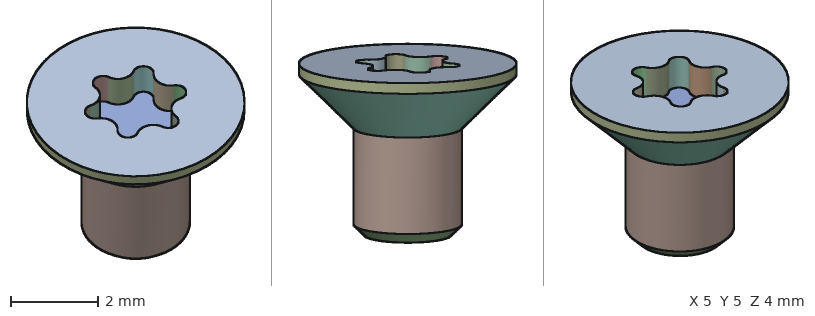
import cadquery as cq
import math

head_diameter = 5.0
shank_diameter = 2.5
total_height = 4.0
rim_height = 0.25
tip_chamfer = 0.25

lobe_count = 6
lobe_tip_reach = 1.215
valley_reach = 0.84
lobe_radius = 0.235
recess_depth = 0.8
first_lobe_angle = 90.0

head_radius = head_diameter / 2
shank_radius = shank_diameter / 2
cone_height = head_radius - shank_radius


def polar(radius, angle):
    """Point at a radius and an angle in degrees."""
    return (radius * math.cos(math.radians(angle)), radius * math.sin(math.radians(angle)))


def screw_body():
    """Rim, countersunk cone, shank and chamfered tip as one turned profile."""
    rim_bottom = total_height - rim_height
    return (
        cq.Workplane("XZ")
        .polyline([
            (0, 0),
            (shank_radius - tip_chamfer, 0),
            (shank_radius, tip_chamfer),
            (shank_radius, rim_bottom - cone_height),
            (head_radius, rim_bottom),
            (head_radius, total_height),
            (0, total_height),
        ])
        .close()
        .revolve(360, (0, 0, 0), (0, 1, 0))
    )


def drive_recess():
    """Six-lobe pocket whose convex and concave arcs meet tangentially."""
    half_pitch = 180.0 / lobe_count
    lobe_center_reach = lobe_tip_reach - lobe_radius

    cosine = math.cos(math.radians(half_pitch))
    valley_radius = (
        (valley_reach**2 + lobe_center_reach**2 - lobe_radius**2
         - 2 * valley_reach * lobe_center_reach * cosine)
        / (2 * (lobe_radius - valley_reach + lobe_center_reach * cosine))
    )
    valley_center_reach = valley_reach + valley_radius
    lobe_share = lobe_radius / (lobe_radius + valley_radius)

    def tangent_point(lobe_angle, side):
        """Meeting point of a lobe arc and the valley arc on one side of it."""
        lobe_x, lobe_y = polar(lobe_center_reach, lobe_angle)
        valley_x, valley_y = polar(valley_center_reach, lobe_angle + side * half_pitch)
        return (
            lobe_x + lobe_share * (valley_x - lobe_x),
            lobe_y + lobe_share * (valley_y - lobe_y),
        )

    outline = cq.Workplane("XY").workplane(offset=total_height)
    outline = outline.moveTo(*tangent_point(first_lobe_angle, -1))
    for index in range(lobe_count):
        lobe_angle = first_lobe_angle + index * 2 * half_pitch
        next_lobe_angle = lobe_angle + 2 * half_pitch
        outline = outline.threePointArc(
            polar(lobe_tip_reach, lobe_angle), tangent_point(lobe_angle, 1)
        )
        outline = outline.threePointArc(
            polar(valley_reach, lobe_angle + half_pitch), tangent_point(next_lobe_angle, -1)
        )
    return outline.close().extrude(-recess_depth)


result = screw_body().cut(drive_recess())